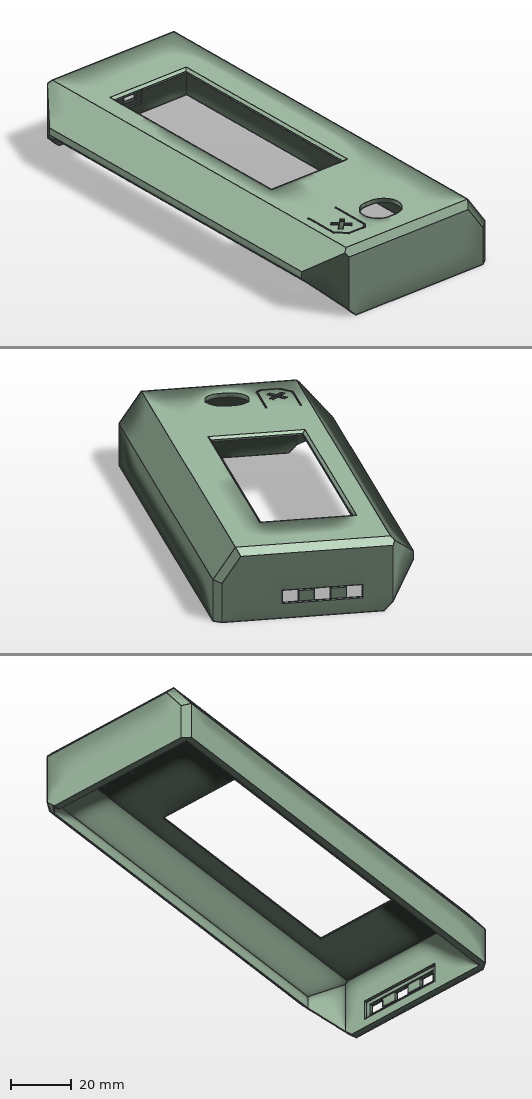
import cadquery as cq
import math

LENGTH = 155.0
DEPTH = 69.9
HEIGHT = 25.4

BACK_SLOPE_RUN = 7.6
BACK_SLOPE_DROP = 10.8
NOSE_SLOPE_RUN = 10.0
UNDERCUT_RUN = 12.7
CORNER_BEVEL_X = 12.7
CORNER_BEVEL_Y = 9.6
END_CHAMFER_X = 2.0
END_CHAMFER_INSET = 2.6

WALL = 2.3
ROOF = 1.5
NOSE_SLOPE_WALL = 1.7
CORNER_WALL = 1.7

WINDOW_X = -12.5
WINDOW_Y = 33.3
WINDOW_LENGTH = 83.0
WINDOW_WIDTH = 32.7
WINDOW_CHAMFER = 1.0

RIGHT_FEATURES_X = 62.0
OBLONG_Y = 36.3
OBLONG_LENGTH = 14.7
OBLONG_WIDTH = 12.2

BUTTON_Y = 19.4
BUTTON_ROOT_X = 52.0
BUTTON_TIP_X = 68.5
BUTTON_WIDTH = 11.6
BUTTON_BACK_CHAMFER = 1.5
BUTTON_FRONT_CHAMFER = 3.7
SLIT = 0.5
CROSS_LENGTH = 7.0
CROSS_WIDTH = 1.5
CROSS_DEPTH = 1.0

PORT_Y = 33.3
PORT_WIDTH = 27.1
PORT_BOTTOM = 5.1
PORT_HEIGHT = 4.6
PORT_WALL = 1.4
PORT_RECESS_MARGIN = 1.5
BAR_COUNT = 2
BAR_WIDTH = 5.3
BAR_PITCH = 10.8
BAR_GAP = 0.5

SLOPE_ANGLE = math.atan2(BACK_SLOPE_DROP, BACK_SLOPE_RUN)


def side_profile(front, top_inset, back_inset):
    """Points (y, z) of the side outline, starting at a front y, with its top and back moved inward."""
    top = HEIGHT - top_inset
    back = DEPTH - back_inset
    slope_run = BACK_SLOPE_RUN + top_inset * math.tan(SLOPE_ANGLE / 2)
    slope_end = HEIGHT - BACK_SLOPE_DROP - back_inset * math.tan(math.pi / 4 - SLOPE_ANGLE / 2)
    return [(front, 0), (front, top), (DEPTH - slope_run, top), (back, slope_end), (back, 0)]


def prism(sections):
    """Ruled solid through side outlines, each given as (x, points)."""
    wires = [
        cq.Wire.makePolygon([cq.Vector(x, y, z) for y, z in points], close=True)
        for x, points in sections
    ]
    return cq.Workplane(obj=cq.Solid.makeLoft(wires, ruled=True))


def nose_slope_cutter(thickness):
    """Everything outside the upper nose face moved inward by a thickness."""
    shift = thickness * math.sqrt(2)
    reach = NOSE_SLOPE_RUN + shift
    return (
        cq.Workplane("YZ")
        .polyline([(reach, HEIGHT), (0, HEIGHT - reach), (0, HEIGHT)])
        .close()
        .extrude(LENGTH / 2, both=True)
    )


def corner_cutter(side, thickness):
    """Everything outside one nose corner bevel moved inward by a thickness."""
    bevel_span = math.hypot(CORNER_BEVEL_X, CORNER_BEVEL_Y)
    growth = 1 + thickness * bevel_span / (CORNER_BEVEL_X * CORNER_BEVEL_Y)
    end = side * LENGTH / 2
    return (
        cq.Workplane("XY")
        .polyline([(end, 0), (end - side * CORNER_BEVEL_X * growth, 0), (end, CORNER_BEVEL_Y * growth)])
        .close()
        .extrude(HEIGHT)
    )


def cut_nose(body, slope_thickness, corner_thickness):
    """Give a body the upper nose face and the two corner bevels."""
    body = body.cut(nose_slope_cutter(slope_thickness))
    for side in (-1, 1):
        body = body.cut(corner_cutter(side, corner_thickness))
    return body


def make_outer():
    """Solid outside shape, narrowed at both ends and cut off below the nose."""
    end = LENGTH / 2
    full = side_profile(0, 0, 0)
    inset = side_profile(0, END_CHAMFER_INSET, END_CHAMFER_INSET)
    body = prism([
        (-end, inset),
        (-end + END_CHAMFER_X, full),
        (end - END_CHAMFER_X, full),
        (end, inset),
    ])
    undercut = (
        cq.Workplane("YZ")
        .polyline([(0, 0), (UNDERCUT_RUN, 0), (0, UNDERCUT_RUN)])
        .close()
        .extrude(LENGTH / 2, both=True)
    )
    return cut_nose(body, 0, 0).cut(undercut)


def make_cavity():
    """Hollow of the shell, open at the bottom and through the undercut."""
    end = LENGTH / 2 - WALL
    profile = side_profile(WALL, ROOF, WALL)
    return cut_nose(prism([(-end, profile), (end, profile)]), NOSE_SLOPE_WALL, CORNER_WALL)


def roof_plane():
    return cq.Workplane("XY", origin=(0, 0, HEIGHT))


def make_window():
    opening_length = WINDOW_LENGTH - 2 * WINDOW_CHAMFER
    opening_width = WINDOW_WIDTH - 2 * WINDOW_CHAMFER
    plane = roof_plane().center(WINDOW_X, WINDOW_Y)
    rim = (
        plane.rect(WINDOW_LENGTH, WINDOW_WIDTH)
        .workplane(offset=-WINDOW_CHAMFER)
        .rect(opening_length, opening_width)
        .loft(ruled=True)
    )
    return rim.union(plane.rect(opening_length, opening_width).extrude(-ROOF))


def make_oblong():
    return (
        roof_plane()
        .center(RIGHT_FEATURES_X, OBLONG_Y)
        .slot2D(OBLONG_LENGTH, OBLONG_WIDTH, 90)
        .extrude(-ROOF)
    )


def tongue_outline(offset):
    """Button tongue, grown by an offset on all sides but its root."""
    half = BUTTON_WIDTH / 2 + offset
    tip = BUTTON_TIP_X + offset
    return (
        roof_plane()
        .center(0, BUTTON_Y)
        .polyline([
            (BUTTON_ROOT_X, half),
            (tip - BUTTON_BACK_CHAMFER, half),
            (tip, half - BUTTON_BACK_CHAMFER),
            (tip, BUTTON_FRONT_CHAMFER - half),
            (tip - BUTTON_FRONT_CHAMFER, -half),
            (BUTTON_ROOT_X, -half),
        ])
        .close()
        .extrude(-ROOF)
    )


def make_button_slit():
    return tongue_outline(SLIT / 2).cut(tongue_outline(-SLIT / 2))


def make_cross():
    cross = cq.Workplane("XY")
    for angle in (45, 135):
        arm = (
            roof_plane()
            .center(RIGHT_FEATURES_X, BUTTON_Y)
            .transformed(rotate=(0, 0, angle))
            .rect(CROSS_LENGTH, CROSS_WIDTH)
            .extrude(-CROSS_DEPTH)
        )
        cross = cross.union(arm)
    return cross


def end_block(x_start, x_end, y, z_bottom, width, height):
    """Block inside the -X wall, centred on y, between two distances from the outer face."""
    return (
        cq.Workplane("XY", origin=(x_start - LENGTH / 2, y, z_bottom))
        .box(x_end - x_start, width, height, centered=(False, True, False))
    )


def make_port():
    """Port opening with the shallow recess around it on the inside of the wall."""
    opening = end_block(0, PORT_WALL, PORT_Y, PORT_BOTTOM, PORT_WIDTH, PORT_HEIGHT)
    recess = end_block(
        PORT_WALL,
        WALL,
        PORT_Y,
        PORT_BOTTOM - PORT_RECESS_MARGIN,
        PORT_WIDTH + 2 * PORT_RECESS_MARGIN,
        PORT_HEIGHT + 2 * PORT_RECESS_MARGIN,
    )
    return opening.union(recess)


def make_housing():
    return (
        make_outer()
        .cut(make_cavity())
        .cut(make_window())
        .cut(make_oblong())
        .cut(make_button_slit())
        .cut(make_cross())
        .cut(make_port())
    )


def make_port_bar(index):
    y = PORT_Y + (index - (BAR_COUNT - 1) / 2) * BAR_PITCH
    return end_block(0, PORT_WALL, y, PORT_BOTTOM + BAR_GAP, BAR_WIDTH, PORT_HEIGHT - 2 * BAR_GAP)


housing = make_housing()
port_bars = [make_port_bar(index) for index in range(BAR_COUNT)]

result = cq.Compound.makeCompound([housing.val(), *[bar.val() for bar in port_bars]])